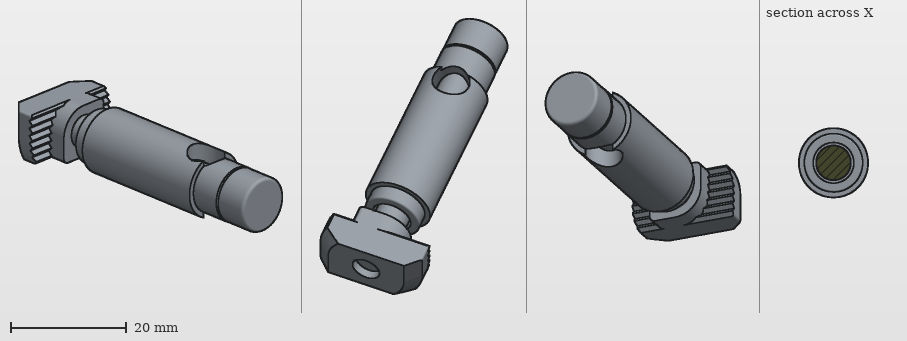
import cadquery as cq
import math

TOTAL_LENGTH = 52.8

NUT_LENGTH = 8.8
NUT_HEIGHT = 9.65
WING_SPAN = 19.0
WING_THICKNESS = 5.8
WING_CHAMFER = 2.45
WING_CORNER_RADIUS = 0.5
BOSS_CORNER_RADIUS = 1.0
NUT_HOLE_DIAMETER = 5.0

TOOTH_COUNT = 7
TOOTH_PITCH = 1.4
TOOTH_DEPTH = TOOTH_PITCH / 2
LOWEST_ROOT_Z = -NUT_HEIGHT / 2
TOOTH_ROOT_X = WING_THICKNESS - TOOTH_DEPTH

SLEEVE_START = 11.8
SLEEVE_END = 46.8
BARREL_START = 14.5
BARREL_END = 40.75
BARREL_DIAMETER = 12.0
BODY_DIAMETER = 10.1
MOUTH_FILLET = 0.3
TAIL_CHAMFER = 0.4
MOUTH_DIAMETER = 7.0
CROSS_HOLE_DIAMETER = 6.5
CROSS_HOLE_X = 38.75

SHANK_DIAMETER = 6.0
TIP_DEPTH = 1.6
BOLT_HEAD_DIAMETER = 10.0
BOLT_HEAD_FILLET = 0.6


def cylinder_x(diameter, start, end):
    """Solid round bar on the X axis between two X positions."""
    return cq.Workplane("YZ", origin=(start, 0, 0)).circle(diameter / 2).extrude(end - start)


def half_turn_pair(half):
    """Join a shape with its copy turned half a turn about the X axis."""
    return half.union(half.rotate((0, 0, 0), (1, 0, 0), 180))


def wing():
    """Half wing at +Y: its tip is round about the X axis above Z = 0 and flat below it."""
    half_height = NUT_HEIGHT / 2
    tip = WING_SPAN / 2
    round_end_y = math.sqrt(tip**2 - half_height**2)
    middle_angle = math.asin(half_height / tip) / 2
    blank = (
        cq.Workplane("YZ")
        .moveTo(0, -half_height)
        .lineTo(tip, -half_height)
        .lineTo(tip, 0)
        .threePointArc(
            (tip * math.cos(middle_angle), tip * math.sin(middle_angle)),
            (round_end_y, half_height),
        )
        .lineTo(0, half_height)
        .close()
        .extrude(WING_THICKNESS)
    )
    bevelled = blank.faces("<X").edges("not(|Y or <Y)").chamfer(WING_CHAMFER)
    return bevelled.edges("|X and >Y and <Z").fillet(WING_CORNER_RADIUS)


def serration_cutter():
    """Prism across Y that leaves pointed teeth on the back of the wings."""
    points = [(TOOTH_ROOT_X, LOWEST_ROOT_Z)]
    for tooth in range(TOOTH_COUNT):
        root_z = LOWEST_ROOT_Z + tooth * TOOTH_PITCH
        points.append((WING_THICKNESS, root_z + TOOTH_PITCH / 2))
        points.append((TOOTH_ROOT_X, root_z + TOOTH_PITCH))
    top_z = points[-1][1]
    points.append((NUT_LENGTH, top_z))
    points.append((NUT_LENGTH, LOWEST_ROOT_Z))
    return cq.Workplane("XZ").polyline(points).close().extrude(WING_SPAN / 2, both=True)


def boss():
    """Neck of the T: square, with two opposite corners fully round so that it can turn."""
    half = NUT_HEIGHT / 2
    cos_45 = math.sqrt(0.5)
    diagonal = half * cos_45
    corner = half - BOSS_CORNER_RADIUS * (1 - cos_45)
    inner = half - BOSS_CORNER_RADIUS
    return (
        cq.Workplane("YZ")
        .moveTo(-half, 0)
        .threePointArc((-diagonal, diagonal), (0, half))
        .lineTo(inner, half)
        .threePointArc((corner, corner), (half, inner))
        .lineTo(half, 0)
        .threePointArc((diagonal, -diagonal), (0, -half))
        .lineTo(-inner, -half)
        .threePointArc((-corner, -corner), (-half, -inner))
        .close()
        .extrude(NUT_LENGTH)
    )


def make_nut():
    """T-head with serrated wings, a boss and a through hole for the bolt tip."""
    wings = half_turn_pair(wing()).cut(serration_cutter())
    return wings.union(boss()).cut(cylinder_x(NUT_HOLE_DIAMETER, 0, NUT_LENGTH))


def make_sleeve():
    """Tube with a thicker barrel, a widened mouth and a hole across the barrel end."""
    body = cylinder_x(BODY_DIAMETER, SLEEVE_START, SLEEVE_END)
    body = body.faces("<X").edges().fillet(MOUTH_FILLET)
    body = body.faces(">X").edges().chamfer(TAIL_CHAMFER)
    barrel = cylinder_x(BARREL_DIAMETER, BARREL_START, BARREL_END)
    bore = cylinder_x(SHANK_DIAMETER, SLEEVE_START, SLEEVE_END)
    mouth = cylinder_x(MOUTH_DIAMETER, SLEEVE_START, BARREL_START)
    cross_hole = (
        cq.Workplane("XY")
        .center(CROSS_HOLE_X, 0)
        .circle(CROSS_HOLE_DIAMETER / 2)
        .extrude(BARREL_DIAMETER, both=True)
    )
    return body.union(barrel).cut(bore).cut(mouth).cut(cross_hole)


def make_bolt():
    """Bolt whose reduced tip sits in the nut and whose head rests on the sleeve."""
    tip = cylinder_x(NUT_HOLE_DIAMETER, TIP_DEPTH, NUT_LENGTH)
    shank = cylinder_x(SHANK_DIAMETER, NUT_LENGTH, SLEEVE_END)
    head = cylinder_x(BOLT_HEAD_DIAMETER, SLEEVE_END, TOTAL_LENGTH)
    head = head.faces(">X").edges().fillet(BOLT_HEAD_FILLET)
    return tip.union(shank).union(head)


nut = make_nut()
sleeve = make_sleeve()
bolt = make_bolt()
result = cq.Compound.makeCompound([nut.val(), sleeve.val(), bolt.val()])